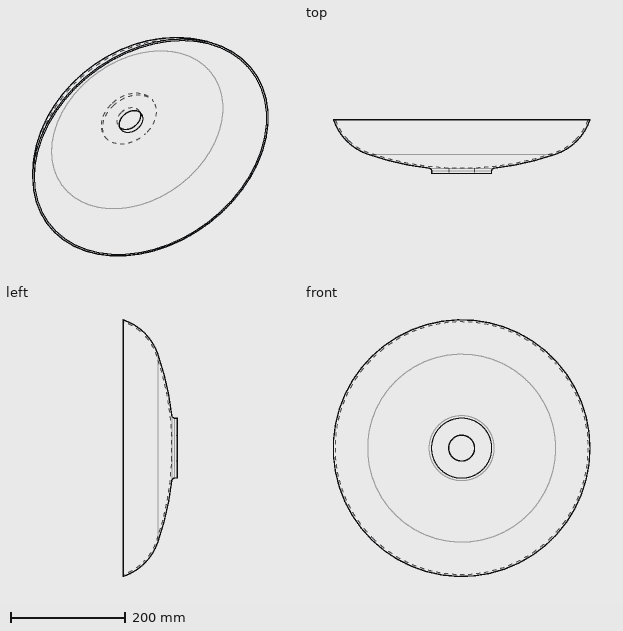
import cadquery as cq
import math

rim_radius = 225.0
total_depth = 95.0
wall = 3.0
dome_radius = 504.0
dome_depth = 88.5
seam_radius = 164.5
foot_radius = 52.5
foot_fillet = 5.0
drain_radius = 22.5

dome_center_y = dome_radius - dome_depth
seam_angle = math.asin(seam_radius / dome_radius)
seam_y = dome_center_y - dome_radius * math.cos(seam_angle)

rise_r = rim_radius - seam_radius
rise_y = -seam_y
normal_reach = rise_y * math.cos(seam_angle) - rise_r * math.sin(seam_angle)
side_radius = (rise_r**2 + rise_y**2) / (2 * normal_reach)
side_center_r = seam_radius - side_radius * math.sin(seam_angle)
side_center_y = seam_y + side_radius * math.cos(seam_angle)


def dome_point(angle, inset):
    """Point on the bottom at an angle from the axis, moved inward by inset."""
    radius = dome_radius - inset
    return radius * math.sin(angle), dome_center_y - radius * math.cos(angle)


def side_point(angle, inset):
    """Point on the side arc at an angle from straight down, moved inward by inset."""
    radius = side_radius - inset
    return side_center_r + radius * math.sin(angle), side_center_y - radius * math.cos(angle)


def bowl_solid(inset):
    """Solid bounded by the rim plane and the bowl surface moved inward by inset."""
    rim_angle = math.acos(side_center_y / (side_radius - inset))
    profile = (
        cq.Workplane("XY")
        .lineTo(*dome_point(0, inset))
        .threePointArc(dome_point(seam_angle / 2, inset), dome_point(seam_angle, inset))
        .threePointArc(side_point((seam_angle + rim_angle) / 2, inset), side_point(rim_angle, inset))
        .close()
    )
    return profile.revolve(360, (0, 0), (0, 1))


def foot_solid():
    """Round foot with a concave fillet running tangentially onto the bottom."""
    fillet_center_r = foot_radius + foot_fillet
    contact_angle = math.asin(fillet_center_r / (dome_radius + foot_fillet))
    fillet_center_y = dome_center_y - (dome_radius + foot_fillet) * math.cos(contact_angle)
    mid_angle = (math.pi / 2 + contact_angle) / 2
    fillet_middle = (
        fillet_center_r - foot_fillet * math.sin(mid_angle),
        fillet_center_y + foot_fillet * math.cos(mid_angle),
    )
    profile = (
        cq.Workplane("XY")
        .moveTo(0, -total_depth)
        .lineTo(foot_radius, -total_depth)
        .lineTo(foot_radius, fillet_center_y)
        .threePointArc(fillet_middle, dome_point(contact_angle, 0))
        .lineTo(0, dome_point(contact_angle, 0)[1])
        .close()
    )
    return profile.revolve(360, (0, 0), (0, 1))


drain_hole = cq.Workplane("XZ").circle(drain_radius).extrude(total_depth)

result = bowl_solid(0).union(foot_solid()).cut(bowl_solid(wall)).cut(drain_hole)